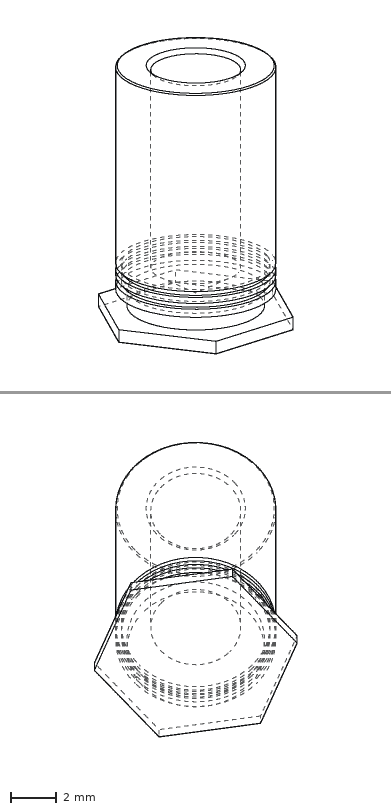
import cadquery as cq
import math

total_height = 12.0
hex_across_flats = 7.9
hex_across_corners = hex_across_flats / math.cos(math.pi / 6)
hex_thickness = 0.6

barrel_diameter = 7.12
neck_diameter = 6.11
groove_diameter = 6.61
neck_top = 1.39
groove_width = 0.28
ring_width = 0.29
lower_groove_bottom = 1.78
upper_groove_bottom = lower_groove_bottom + groove_width + ring_width
rim_chamfer = 0.07

bore_diameter = 4.0
bore_mouth_diameter = 4.4
bore_mouth_chamfer = (bore_mouth_diameter - bore_diameter) / 2
bore_depth = 9.6
drill_point_angle = 118.0


def cylinder(diameter, bottom, top):
    """Vertical cylinder on the Z axis between two heights."""
    return cq.Workplane("XY").workplane(offset=bottom).circle(diameter / 2).extrude(top - bottom)


def hex_head():
    """Thin hexagonal head with two corners on the X axis."""
    return cq.Workplane("XY").polygon(6, hex_across_corners).extrude(hex_thickness)


def grooved_barrel():
    """Barrel with a chamfered rim and two grooves near its lower end."""
    barrel = cylinder(barrel_diameter, neck_top, total_height).faces(">Z").chamfer(rim_chamfer)
    for bottom in (lower_groove_bottom, upper_groove_bottom):
        top = bottom + groove_width
        groove = cylinder(barrel_diameter, bottom, top).cut(cylinder(groove_diameter, bottom, top))
        barrel = barrel.cut(groove)
    return barrel


def bore():
    """Revolved bore: chamfered mouth, straight wall and conical end."""
    radius = bore_diameter / 2
    wall_bottom = total_height - bore_depth
    point_depth = radius / math.tan(math.radians(drill_point_angle / 2))
    return (
        cq.Workplane("XZ")
        .moveTo(0, total_height)
        .lineTo(bore_mouth_diameter / 2, total_height)
        .lineTo(radius, total_height - bore_mouth_chamfer)
        .lineTo(radius, wall_bottom)
        .lineTo(0, wall_bottom - point_depth)
        .close()
        .revolve(360, (0, 0, 0), (0, 1, 0))
    )


neck = cylinder(neck_diameter, hex_thickness, neck_top)
result = hex_head().union(neck).union(grooved_barrel()).cut(bore())